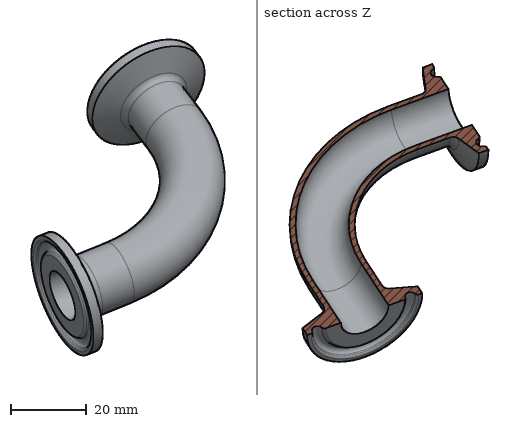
import cadquery as cq
import math


tube_diameter = 17.3
bore_diameter = 14.0
face_to_axis = 55.0
bend_radius = 38.1
straight_length = face_to_axis - bend_radius

flange_diameter = 34.0
rim_thickness = 2.85
cone_angle = math.radians(20.0)
neck_fillet = 2.0

groove_pitch_radius = 13.72
groove_half_width = 2.17
groove_lip_radius = 0.75
groove_floor_radius = 1.4
groove_wall_angle = math.radians(70.0)

tube_radius = tube_diameter / 2
bore_radius = bore_diameter / 2
flange_radius = flange_diameter / 2


def ferrule():
    """Straight port along X: tube, conical clamp flange and neck fillet; open face at -face_to_axis."""
    neck_corner = rim_thickness + (flange_radius - tube_radius) * math.tan(cone_angle)

    tangent_length = neck_fillet * math.tan((math.pi / 2 - cone_angle) / 2)
    fillet_center = (neck_corner + tangent_length, tube_radius + neck_fillet)
    cone_tangent = (
        neck_corner - tangent_length * math.sin(cone_angle),
        tube_radius + tangent_length * math.cos(cone_angle),
    )
    mid_angle = (math.pi / 2 + cone_angle) / 2
    fillet_middle = (
        fillet_center[0] - neck_fillet * math.cos(mid_angle),
        fillet_center[1] - neck_fillet * math.sin(mid_angle),
    )

    profile = (
        cq.Workplane("XY")
        .moveTo(0, bore_radius)
        .lineTo(0, flange_radius)
        .lineTo(rim_thickness, flange_radius)
        .lineTo(*cone_tangent)
        .threePointArc(fillet_middle, (fillet_center[0], tube_radius))
        .lineTo(straight_length, tube_radius)
        .lineTo(straight_length, bore_radius)
        .close()
    )
    body = profile.revolve(360, (0, 0, 0), (1, 0, 0))
    return body.cut(gasket_groove()).translate((-face_to_axis, 0, 0))


def gasket_groove():
    """Ring cutter at the ferrule face: round floor, two sloped walls and a rounded lip on each side."""

    def lip_point(angle):
        """Depth and offset from the groove middle of the lip point with the given surface slope."""
        depth = groove_lip_radius * (1 - math.cos(angle))
        offset = groove_half_width - groove_lip_radius * math.sin(angle)
        return depth, offset

    lip_middle_depth, lip_middle_offset = lip_point(groove_wall_angle / 2)
    wall_top_depth, wall_top_offset = lip_point(groove_wall_angle)

    wall_bottom_offset = groove_floor_radius * math.sin(groove_wall_angle)
    wall_height = (wall_top_offset - wall_bottom_offset) * math.tan(groove_wall_angle)
    wall_bottom_depth = wall_top_depth + wall_height
    floor_depth = wall_bottom_depth + groove_floor_radius * (1 - math.cos(groove_wall_angle))

    def point(depth, offset):
        return (depth, groove_pitch_radius + offset)

    profile = (
        cq.Workplane("XY")
        .moveTo(*point(0, -groove_half_width))
        .threePointArc(point(lip_middle_depth, -lip_middle_offset), point(wall_top_depth, -wall_top_offset))
        .lineTo(*point(wall_bottom_depth, -wall_bottom_offset))
        .threePointArc(point(floor_depth, 0), point(wall_bottom_depth, wall_bottom_offset))
        .lineTo(*point(wall_top_depth, wall_top_offset))
        .threePointArc(point(lip_middle_depth, lip_middle_offset), point(0, groove_half_width))
        .close()
    )
    return profile.revolve(360, (0, 0, 0), (1, 0, 0))


def bend():
    """Quarter-turn tube joining the inner ends of the two straight ports."""
    section = (
        cq.Workplane("YZ", origin=(-bend_radius, 0, 0))
        .circle(tube_radius)
        .circle(bore_radius)
    )
    return section.revolve(90, (-bend_radius, 1, 0), (-bend_radius, 0, 0))


x_port = ferrule()
y_port = x_port.rotate((0, 0, 0), (0, 0, 1), 90)
result = bend().union(x_port).union(y_port)